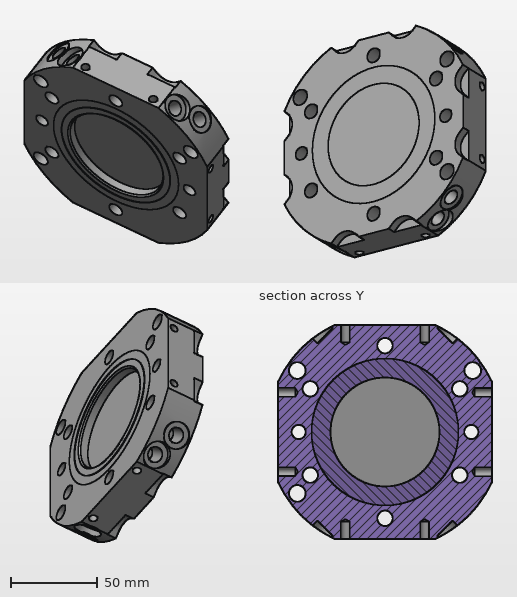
import cadquery as cq
import math

plate_width = 124.0
plate_thickness = 24.0
plate_radius = 68.5
half_width = plate_width / 2
front_y = -plate_thickness / 2
back_y = plate_thickness / 2
through_length = plate_thickness + 2.5

bolt_circle_radius = 50.0
bolt_hole_diameter = 8.8
bolt_hole_angles = (30, 90, 150, 210, 270, 330)
dowel_hole_diameter = 8.0
dowel_hole_angles = (0, 180)
corner_hole_circle_radius = 62.0
corner_hole_diameter = 9.5
corner_hole_angle = 35
corner_hole_angles = (corner_hole_angle, 180 - corner_hole_angle, 180 + corner_hole_angle)

notch_center = 20.0
notch_half_width = 9.5
notch_radius = 9.4
notch_depth = 5.8

side_hole_offset = 23.0
side_hole_y = -7.9
side_hole_diameter = 5.0
side_hole_depth = 9.9
drill_tip_angle = 118

port_diameter = 9.0
port_hole_depth = 14.9
port_seat_diameter = 16.0
port_y = 3.0
middle_port_seat = 67.5
outer_port_seat = 64.0
outer_port_offset = 15.0

ring_neck_radius = 36.8
ring_flange_radius = 42.4
ring_lip = 0.4
ring_bore_radius = 31.5
ring_chamfer = 1.0
cover_recess = 6.0


def cylinder_y(radius, start_y, end_y):
    """Cylinder about the Y axis between two Y positions."""
    return cq.Workplane("XZ", origin=(0, start_y, 0)).circle(radius).extrude(start_y - end_y)


def plate_holes(circle_radius, diameter, angles):
    """Cutter for holes through the plate, placed on a circle."""
    points = []
    for angle in angles:
        a = math.radians(angle)
        points.append((circle_radius * math.cos(a), circle_radius * math.sin(a)))
    holes = cq.Workplane("XZ").pushPoints(points).circle(diameter / 2)
    return holes.extrude(through_length / 2, both=True)


def notch(side):
    """Cutter for one notch in the top flat: two 45 degree walls joined by a tangent arc."""
    tangent_half = notch_radius * math.sin(math.radians(45))
    tangent_z = half_width - (notch_half_width - tangent_half)
    bottom_z = tangent_z + tangent_half - notch_radius
    clearance = plate_radius - half_width
    top_half = notch_half_width + clearance
    center = side * notch_center
    profile = (
        cq.Workplane("XZ", origin=(0, back_y, 0))
        .moveTo(center - top_half, half_width + clearance)
        .lineTo(center - tangent_half, tangent_z)
        .threePointArc((center, bottom_z), (center + tangent_half, tangent_z))
        .lineTo(center + top_half, half_width + clearance)
        .close()
    )
    return profile.extrude(notch_depth)


def side_hole(side):
    """Cutter for one drilled blind hole in the top flat."""
    radius = side_hole_diameter / 2
    tip = radius / math.tan(math.radians(drill_tip_angle / 2))
    profile = (
        cq.Workplane("XZ")
        .polyline([(0, 0), (radius, 0), (radius, -side_hole_depth), (0, -side_hole_depth - tip)])
        .close()
    )
    drill = profile.revolve(360, (0, 0), (0, 1))
    return drill.translate((side * side_hole_offset, side_hole_y, half_width))


def port(offset, y, seat_distance):
    """Cutter for one port along +X: a hole and the flat seat around its mouth."""
    seat_plane = cq.Workplane("YZ", origin=(seat_distance, y, offset))
    seat = seat_plane.circle(port_seat_diameter / 2).extrude(plate_radius - seat_distance + 1.2)
    hole = seat_plane.circle(port_diameter / 2).extrude(-port_hole_depth)
    return seat.union(hole)


def turned(cutter, angle):
    """Turn a cutter about the plate's Y axis, from +X toward +Z."""
    return cutter.rotate((0, 0, 0), (0, 1, 0), -angle)


def make_housing():
    block = cq.Workplane("XY").box(plate_width, plate_thickness, plate_width)
    plate = block.intersect(cylinder_y(plate_radius, front_y, back_y))

    plate = plate.cut(plate_holes(bolt_circle_radius, bolt_hole_diameter, bolt_hole_angles))
    plate = plate.cut(plate_holes(bolt_circle_radius, dowel_hole_diameter, dowel_hole_angles))
    plate = plate.cut(plate_holes(corner_hole_circle_radius, corner_hole_diameter, corner_hole_angles))

    for flat_angle in (0, 90, 180, 270):
        for side in (-1, 1):
            plate = plate.cut(turned(notch(side), flat_angle))
            plate = plate.cut(turned(side_hole(side), flat_angle))

    for corner_angle, outer_side in ((45, 1), (135, -1), (225, 1), (315, -1)):
        middle_port = port(0, port_y, middle_port_seat)
        outer_port = port(outer_side * outer_port_offset, -port_y, outer_port_seat)
        plate = plate.cut(turned(middle_port, corner_angle))
        plate = plate.cut(turned(outer_port, corner_angle))

    plate = plate.cut(cylinder_y(ring_neck_radius, front_y, back_y))
    return plate.cut(cylinder_y(ring_flange_radius, front_y + ring_lip, back_y))


def make_ring():
    neck = cylinder_y(ring_neck_radius, front_y, back_y)
    flange = cylinder_y(ring_flange_radius, front_y + ring_lip, back_y)
    bored = neck.union(flange).cut(cylinder_y(ring_bore_radius, front_y, back_y))
    bore_mouth = cq.selectors.RadiusNthSelector(0)
    return bored.faces("<Y").edges(bore_mouth).chamfer(ring_chamfer)


def make_cover():
    return cylinder_y(ring_bore_radius, front_y + cover_recess, back_y)


housing = make_housing()
ring = make_ring()
cover = make_cover()

result = cq.Compound.makeCompound([housing.val(), ring.val(), cover.val()])